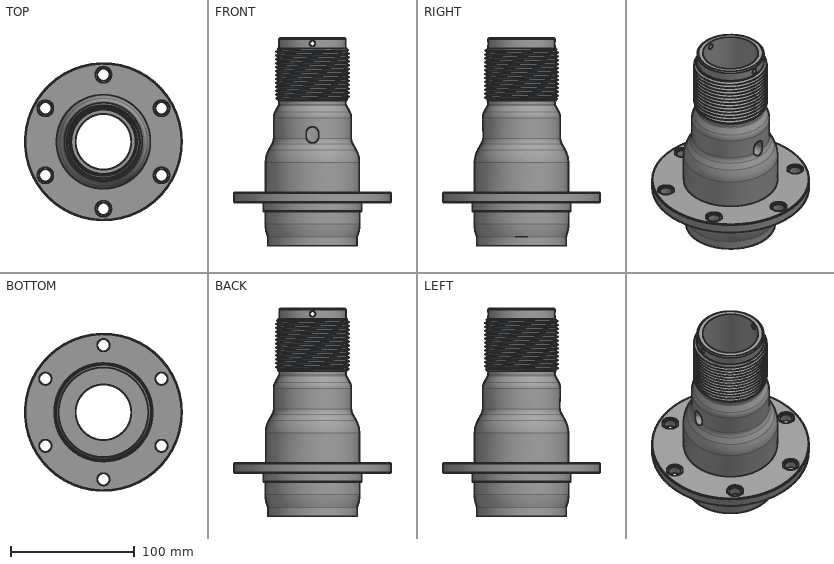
import cadquery as cq
import math

height = 168.0
bore_radius = 22.3

spigot_radius = 36.1
spigot_height = 7.4
bulge_radius = 38.3
bulge_start = 17.8
pilot_radius = 39.8
pilot_bottom = 27.7
pilot_chamfer = 0.5

flange_radius = 63.5
flange_bottom = 35.0
flange_thickness = 8.4
flange_top = flange_bottom + flange_thickness
flange_chamfer = 0.7
bolt_count = 6
bolt_circle_radius = 54.1
bolt_hole_diameter = 9.7
bolt_recess_diameter = 13.1
bolt_recess_depth = 1.5

body_radius = 38.0
body_top = 67.5
collar_radius = 31.5
collar_bottom = 86.9
collar_top = 103.3
neck_radius = 27.0
neck_bottom = 114.4
cone_angle = math.radians(30)
body_round = 20.0
collar_foot_round = 9.0
collar_round = 10.0
neck_foot_round = 2.0
rim_chamfer = 1.2

thread_bottom = 117.0
thread_length = 42.7
thread_turns = 13.5
thread_pitch = thread_length / thread_turns
thread_crest_radius = 29.5
thread_root_gap = 0.13
thread_embed = 0.08
helix_shift = 0.3
thread_end_radius = 27.2
thread_blank_radius = 30.2

pin_hole_diameter = 4.4
pin_hole_height = 163.3
slot_width = 10.0
slot_length = 13.0
slot_height = 89.5


def arc_to_cone(radius, cylinder_end, arc_radius, upward):
    """Middle and end (radius, height) of an arc leaving a cylinder tangentially to meet a cone.

    With `upward` the arc rises and bends toward the axis; otherwise it drops and flares outward.
    """
    direction = 1 if upward else -1
    return [
        (
            radius - direction * arc_radius * (1 - math.cos(angle)),
            cylinder_end + direction * arc_radius * math.sin(angle),
        )
        for angle in (cone_angle / 2, cone_angle)
    ]


def turned_body():
    """Revolve the whole outer outline and the plain bore."""
    body_mid, body_end = arc_to_cone(body_radius, body_top, body_round, upward=True)
    foot_mid, foot_end = arc_to_cone(collar_radius, collar_bottom, collar_foot_round, upward=False)
    collar_mid, collar_end = arc_to_cone(collar_radius, collar_top, collar_round, upward=True)
    neck_mid, neck_end = arc_to_cone(neck_radius, neck_bottom, neck_foot_round, upward=False)
    outline = (
        cq.Workplane("XZ")
        .moveTo(bore_radius, 0)
        .lineTo(bore_radius, height)
        .lineTo(neck_radius - rim_chamfer, height)
        .lineTo(neck_radius, height - rim_chamfer)
        .lineTo(neck_radius, neck_bottom)
        .threePointArc(neck_mid, neck_end)
        .lineTo(*collar_end)
        .threePointArc(collar_mid, (collar_radius, collar_top))
        .lineTo(collar_radius, collar_bottom)
        .threePointArc(foot_mid, foot_end)
        .lineTo(*body_end)
        .threePointArc(body_mid, (body_radius, body_top))
        .lineTo(body_radius, flange_top)
        .lineTo(flange_radius - flange_chamfer, flange_top)
        .lineTo(flange_radius, flange_top - flange_chamfer)
        .lineTo(flange_radius, flange_bottom + flange_chamfer)
        .lineTo(flange_radius - flange_chamfer, flange_bottom)
        .lineTo(pilot_radius, flange_bottom)
        .lineTo(pilot_radius, pilot_bottom + pilot_chamfer)
        .lineTo(pilot_radius - pilot_chamfer, pilot_bottom)
        .lineTo(bulge_radius, pilot_bottom)
        .lineTo(bulge_radius, bulge_start)
        .tangentArcPoint((spigot_radius, spigot_height), relative=False)
        .lineTo(spigot_radius, 0)
        .close()
    )
    return outline.revolve(360, (0, 0, 0), (0, 1, 0))


def thread_ridge():
    """V-shaped helical ridge, chamfered down to the neck at both ends of the thread."""
    helix_start = thread_bottom + helix_shift - thread_pitch
    helix_height = (math.ceil(thread_turns) + 1) * thread_pitch
    half_base = (thread_pitch - thread_root_gap) / 2
    inner_radius = neck_radius - thread_embed
    helix = cq.Workplane(cq.Wire.makeHelix(thread_pitch, helix_height, neck_radius))
    ridge = (
        cq.Workplane("XZ")
        .moveTo(inner_radius, -half_base)
        .lineTo(thread_crest_radius, 0)
        .lineTo(inner_radius, half_base)
        .close()
        .sweep(helix, isFrenet=True)
        .translate((0, 0, helix_start))
    )
    blank = (
        cq.Workplane("XY")
        .workplane(offset=thread_bottom)
        .circle(thread_blank_radius)
        .extrude(thread_length)
        .faces("<Z or >Z")
        .chamfer(thread_blank_radius - thread_end_radius)
    )
    return ridge.intersect(blank)


def bolt_holes():
    """Ring of through holes, each with a shallow recess in the flange's upper face."""

    def ring(diameter, depth):
        return (
            cq.Workplane("XY")
            .workplane(offset=flange_top)
            .polarArray(bolt_circle_radius, 90, 360, bolt_count)
            .circle(diameter / 2)
            .extrude(-depth)
        )

    holes = ring(bolt_hole_diameter, flange_thickness)
    recesses = ring(bolt_recess_diameter, bolt_recess_depth)
    return holes.union(recesses)


def pin_hole():
    """Cross hole through both walls near the rim, along Y."""
    return (
        cq.Workplane("XZ")
        .center(0, pin_hole_height)
        .circle(pin_hole_diameter / 2)
        .extrude(flange_radius, both=True)
    )


def wall_slot():
    """Upright slot through the -Y wall of the collar, into the bore."""
    return (
        cq.Workplane("XZ")
        .center(0, slot_height)
        .slot2D(slot_length, slot_width, 90)
        .extrude(flange_radius)
    )


result = (
    turned_body()
    .union(thread_ridge())
    .cut(bolt_holes())
    .cut(pin_hole())
    .cut(wall_slot())
)